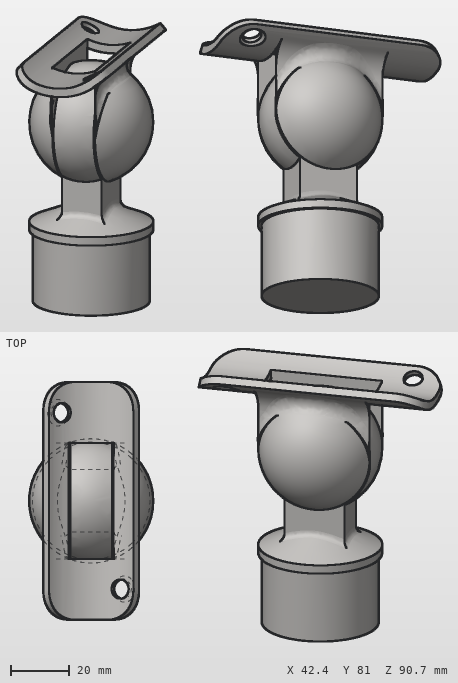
import cadquery as cq
import math

plug_diameter = 40.0
plug_height = 25.0
flange_diameter = 42.4
flange_thickness = 3.0
cone_angle = 22.5
flange_top = plug_height + flange_thickness
cone_height = flange_diameter / 2 * math.tan(math.radians(cone_angle))

ball_diameter = 42.4
ball_radius = ball_diameter / 2
ball_center_z = 62.95
neck_width = 14.2
neck_depth = 21.2
neck_fillet = 2.3
slot_width = 15.3
pin_diameter = 5.7
pin_engagement = 1.8

wall_thickness = 0.1
wall_fillet = 10.0
cheek_fillet = 4.0
runout_width = 2.2
runout_height = 13.9
slot_length = 2 * math.sqrt(ball_radius**2 - (slot_width / 2) ** 2)
fork_width = slot_width + 2 * wall_thickness

saddle_inner_diameter = 42.4
saddle_inner_radius = saddle_inner_diameter / 2
saddle_thickness = 3.0
saddle_length = 81.0
saddle_half_angle = 42.6
saddle_corner_radius = 10.0
total_height = 90.7
saddle_outer_radius = saddle_inner_radius + saddle_thickness
saddle_axis_z = total_height + saddle_inner_radius * math.cos(math.radians(saddle_half_angle))

hole_diameter = 6.5
countersink_diameter = 9.0
countersink_angle = 90
hole_y = 30.0
hole_tilt = 28

pick_margin = 0.1


def ball():
    """Full ball, the common outline of the neck and both cheeks."""
    return cq.Workplane("XY").sphere(ball_radius).translate((0, 0, ball_center_z))


def make_base():
    """Plug, flange and cone carrying the neck and its slice of the ball."""
    cone_and_plug = (
        cq.Workplane("XZ")
        .polyline([
            (0, 0),
            (plug_diameter / 2, 0),
            (plug_diameter / 2, plug_height),
            (flange_diameter / 2, plug_height),
            (flange_diameter / 2, flange_top),
            (0, flange_top + cone_height),
        ])
        .close()
        .revolve(360, (0, 0), (0, 1))
    )
    neck = (
        cq.Workplane("XY", origin=(0, 0, flange_top))
        .rect(neck_width, neck_depth)
        .extrude(ball_center_z - flange_top)
    )
    base = cone_and_plug.union(neck)
    foot = cq.selectors.BoxSelector(
        (-neck_width, -neck_depth, flange_top + pick_margin),
        (neck_width, neck_depth, flange_top + cone_height),
    )
    base = base.edges(foot).fillet(neck_fillet)
    slab = cq.Workplane("XY").box(neck_width, ball_diameter, ball_diameter).translate((0, 0, ball_center_z))
    return base.union(ball().intersect(slab))


def make_saddle_blank():
    """Curved plate with square corners."""
    def rim(radius, angle):
        """Point on the tube section, with the angle measured from straight down."""
        turn = math.radians(angle)
        return (radius * math.sin(turn), saddle_axis_z - radius * math.cos(turn))

    return (
        cq.Workplane("XZ")
        .moveTo(*rim(saddle_inner_radius, -saddle_half_angle))
        .threePointArc(rim(saddle_inner_radius, 0), rim(saddle_inner_radius, saddle_half_angle))
        .lineTo(*rim(saddle_outer_radius, saddle_half_angle))
        .threePointArc(rim(saddle_outer_radius, 0), rim(saddle_outer_radius, -saddle_half_angle))
        .close()
        .extrude(saddle_length / 2, both=True)
    )


def make_saddle():
    """Curved plate with rounded corners."""
    return make_saddle_blank().edges("#Y").edges("%LINE").fillet(saddle_corner_radius)


def make_screw_hole(side):
    """Radial hole through the saddle, countersunk from its underside."""
    hole_radius = hole_diameter / 2
    sink_radius = countersink_diameter / 2
    sink_depth = (sink_radius - hole_radius) / math.tan(math.radians(countersink_angle / 2))
    cutter = (
        cq.Workplane("XZ")
        .polyline([
            (0, -saddle_outer_radius - saddle_thickness),
            (sink_radius, -saddle_outer_radius - saddle_thickness),
            (sink_radius, -saddle_outer_radius),
            (hole_radius, -saddle_outer_radius + sink_depth),
            (hole_radius, -saddle_inner_radius + saddle_thickness),
            (0, -saddle_inner_radius + saddle_thickness),
        ])
        .close()
        .revolve(360, (0, 0), (0, 1))
    )
    tilted = cutter.rotate((0, 0, 0), (0, 1, 0), -side * hole_tilt)
    return tilted.translate((0, -side * hole_y, saddle_axis_z))


def make_cheek_blend():
    """Flat walls blended into the saddle above them and into the ball beside them."""
    wall_height = saddle_axis_z - saddle_inner_radius - saddle_thickness / 2 - ball_center_z
    walls = (
        cq.Workplane("XY", origin=(0, 0, ball_center_z))
        .rect(fork_width, saddle_length)
        .extrude(wall_height)
        .faces("<Z")
        .workplane()
        .rect(fork_width, saddle_length)
        .extrude(2 * ball_radius)
    )
    saddle = make_saddle_blank()
    joint_z = saddle_axis_z - math.sqrt(saddle_outer_radius**2 - (fork_width / 2) ** 2)
    joint = cq.selectors.BoxSelector(
        (-fork_width, -0.9, joint_z - pick_margin),
        (fork_width, 0.9, joint_z + pick_margin),
    )
    blend = saddle.union(walls).edges(joint).edges("|Y").fillet(wall_fillet)
    blend = blend.union(ball())
    ball_seam = cq.selectors.BoxSelector(
        (-ball_radius, -ball_radius, ball_center_z - ball_radius),
        (ball_radius, ball_radius, ball_center_z + ball_radius - pick_margin),
        boundingbox=True,
    )
    blend = blend.edges(ball_seam).fillet(cheek_fillet)
    wall_x = fork_width / 2
    trim = (
        cq.Workplane("XZ")
        .polyline([
            (-wall_x, ball_center_z),
            (wall_x, ball_center_z),
            (wall_x + runout_width, ball_center_z + runout_height),
            (ball_radius, ball_center_z + ball_radius),
            (ball_radius, saddle_axis_z),
            (-ball_radius, saddle_axis_z),
            (-ball_radius, ball_center_z + ball_radius),
            (-wall_x - runout_width, ball_center_z + runout_height),
        ])
        .close()
        .extrude(slot_length / 2, both=True)
    )
    return blend.intersect(trim)


def make_fork():
    """Saddle plate and cheeks, split by the slot for the ball slice."""
    fork = make_saddle().union(make_cheek_blend()).union(ball())
    slot = cq.Workplane("XY", origin=(0, 0, ball_center_z)).box(slot_width, slot_length, 3 * ball_diameter)
    return fork.cut(slot)


fork = make_fork()
for side in (-1, 1):
    fork = fork.cut(make_screw_hole(side))

pin = (
    cq.Workplane("YZ", origin=(0, 0, ball_center_z))
    .circle(pin_diameter / 2)
    .extrude(slot_width / 2 + pin_engagement, both=True)
)
result = make_base().union(fork).union(pin)